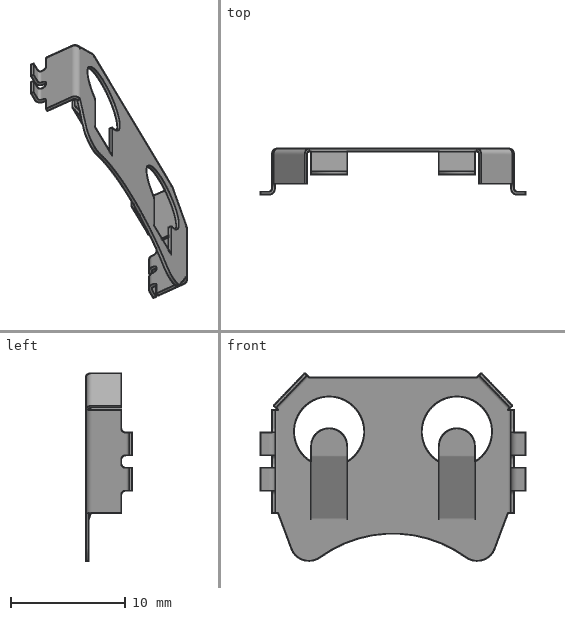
import cadquery as cq
import math


overall_width = 23.25
overall_depth = 4.07
sheet = 0.28
bend_inner = 0.25
bend_outer = bend_inner + sheet

plate_top = 16.1
top_half_width = 7.35
side_half_width = 10.09
side_top = 13.25
side_bottom = 4.2
lobe_radius = 1.65
lobe_x = 7.37
arch_top = 2.4

wall_depth = 3.11

foot_width = 2.02
foot_pitch = 3.1
foot_middle = 8.72
foot_root_radius = 0.37

tongue_x = 5.6
tongue_width = 3.18
tongue_bottom = 3.65
tongue_knee = 9.25
tongue_top = 11.65
tongue_reach = 2.3
heel_inner = 0.37
heel_outer = heel_inner + sheet
hole_radius = 3.07
hole_z = 11.35


def mirrored(half):
    """Join a solid on the +X side with its mirror image."""
    return half.union(half.mirror("YZ"))


def plate():
    """Flat plate with two rounded lower lobes joined by a tangent arch."""
    rise = arch_top - lobe_radius
    arch_radius = (lobe_x**2 + rise**2 - lobe_radius**2) / (2 * (lobe_radius + rise))
    arch_center_z = arch_top - arch_radius
    share = arch_radius / (arch_radius + lobe_radius)
    arch_end = (lobe_x * share, arch_center_z + (lobe_radius - arch_center_z) * share)

    to_corner_x = side_half_width - lobe_x
    to_corner_z = side_bottom - lobe_radius
    corner_angle = math.atan2(to_corner_z, to_corner_x)
    tangent_angle = corner_angle - math.acos(lobe_radius / math.hypot(to_corner_x, to_corner_z))
    side_end = (
        lobe_x + lobe_radius * math.cos(tangent_angle),
        lobe_radius + lobe_radius * math.sin(tangent_angle),
    )
    lobe_low = (lobe_x, 0)

    def left(point):
        return (-point[0], point[1])

    return (
        cq.Workplane("XZ")
        .moveTo(-top_half_width, plate_top)
        .lineTo(top_half_width, plate_top)
        .lineTo(side_half_width, side_top)
        .lineTo(side_half_width, side_bottom)
        .lineTo(*side_end)
        .threePointArc(lobe_low, arch_end)
        .threePointArc((0, arch_top), left(arch_end))
        .threePointArc(left(lobe_low), left(side_end))
        .lineTo(-side_half_width, side_bottom)
        .lineTo(-side_half_width, side_top)
        .close()
        .extrude(sheet)
    )


def flange(start, end):
    """Wall bent 90 degrees forward along the plate edge from start to end, given as (x, z)."""
    run_x = end[0] - start[0]
    run_z = end[1] - start[1]
    edge_plane = cq.Plane(
        origin=(start[0], 0, start[1]), xDir=(-run_z, 0, run_x), normal=(run_x, 0, run_z)
    )
    diagonal = math.sqrt(0.5)
    return (
        cq.Workplane(edge_plane)
        .moveTo(0, 0)
        .threePointArc((bend_outer * diagonal, bend_outer * (1 - diagonal)), (bend_outer, bend_outer))
        .lineTo(bend_outer, wall_depth)
        .lineTo(bend_inner, wall_depth)
        .lineTo(bend_inner, bend_outer)
        .threePointArc((bend_inner * diagonal, bend_outer - bend_inner * diagonal), (0, sheet))
        .close()
        .extrude(math.hypot(run_x, run_z))
    )


def foot(middle_z):
    """Foot that leaves the side wall's front edge and bends outward."""
    wall_outer = side_half_width + bend_outer
    wall_inner = wall_outer - sheet
    bend_x = wall_outer + bend_inner
    bend_y = -(overall_depth - bend_outer)
    diagonal = math.sqrt(0.5)
    return (
        cq.Workplane("XY", origin=(0, 0, middle_z))
        .moveTo(wall_inner, -wall_depth)
        .lineTo(wall_inner, bend_y)
        .threePointArc(
            (bend_x - bend_outer * diagonal, bend_y - bend_outer * diagonal), (bend_x, -overall_depth)
        )
        .lineTo(overall_width / 2, -overall_depth)
        .lineTo(overall_width / 2, -overall_depth + sheet)
        .lineTo(bend_x, -overall_depth + sheet)
        .threePointArc(
            (bend_x - bend_inner * diagonal, bend_y - bend_inner * diagonal), (wall_outer, bend_y)
        )
        .lineTo(wall_outer, -wall_depth)
        .close()
        .extrude(foot_width / 2, both=True)
    )


def side_wall():
    """Side wall with two feet whose roots are rounded into the wall's front edge."""
    wall = flange((side_half_width, side_top), (side_half_width, side_bottom))
    for side in (-1, 1):
        wall = wall.union(foot(foot_middle + side * foot_pitch / 2))
    margin = 0.02
    reach = (foot_pitch + foot_width) / 2 + margin
    roots = cq.selectors.BoxSelector(
        (0, -wall_depth - margin, foot_middle - reach),
        (overall_width, -wall_depth + margin, foot_middle + reach),
    )
    return wall.edges("|X").edges(roots).fillet(foot_root_radius)


def opening():
    """Round hole with a slot below it, from which the tongue is bent."""
    hole = cq.Workplane("XZ").center(tongue_x, hole_z).circle(hole_radius).extrude(sheet)
    slot_height = hole_z - tongue_bottom
    slot = (
        cq.Workplane("XZ")
        .center(tongue_x, tongue_bottom + slot_height / 2)
        .rect(tongue_width, slot_height)
        .extrude(sheet)
    )
    return hole.union(slot)


def tongue():
    """Tongue sloping forward from the slot's lower end, then upright with a round tip."""
    heel_center = (-sheet - heel_inner, tongue_bottom)
    knee_center = (-tongue_reach + sheet, tongue_knee)
    run_y = knee_center[0] - heel_center[0]
    run_z = knee_center[1] - heel_center[1]
    slope = math.atan2(run_z, run_y) - math.acos(heel_outer / math.hypot(run_y, run_z))

    def heel_point(radius, angle):
        return (
            heel_center[0] + radius * math.cos(angle),
            heel_center[1] + radius * math.sin(angle),
        )

    def knee_point(angle):
        return (
            knee_center[0] - sheet * math.cos(angle),
            knee_center[1] - sheet * math.sin(angle),
        )

    side_profile = (
        cq.Workplane("YZ", origin=(tongue_x, 0, 0))
        .moveTo(0, tongue_bottom)
        .lineTo(-sheet, tongue_bottom)
        .threePointArc(heel_point(heel_inner, slope / 2), heel_point(heel_inner, slope))
        .lineTo(*knee_point(slope))
        .threePointArc(knee_point(slope / 2), knee_point(0))
        .lineTo(-tongue_reach, tongue_top)
        .lineTo(-tongue_reach + sheet, tongue_top)
        .lineTo(*knee_center)
        .lineTo(*heel_point(heel_outer, slope))
        .threePointArc(heel_point(heel_outer, slope / 2), heel_point(heel_outer, 0))
        .close()
        .extrude(tongue_width / 2, both=True)
    )
    tip_radius = tongue_width / 2
    tip_z = tongue_top - tip_radius
    front_outline = (
        cq.Workplane("XZ")
        .moveTo(tongue_x - tip_radius, tongue_bottom)
        .lineTo(tongue_x + tip_radius, tongue_bottom)
        .lineTo(tongue_x + tip_radius, tip_z)
        .threePointArc((tongue_x, tongue_top), (tongue_x - tip_radius, tip_z))
        .close()
        .extrude(tongue_reach)
    )
    return side_profile.intersect(front_outline)


corner_flap = flange((top_half_width, plate_top), (side_half_width, side_top))

result = (
    plate()
    .cut(mirrored(opening()))
    .union(mirrored(tongue()))
    .union(mirrored(corner_flap))
    .union(mirrored(side_wall()))
)